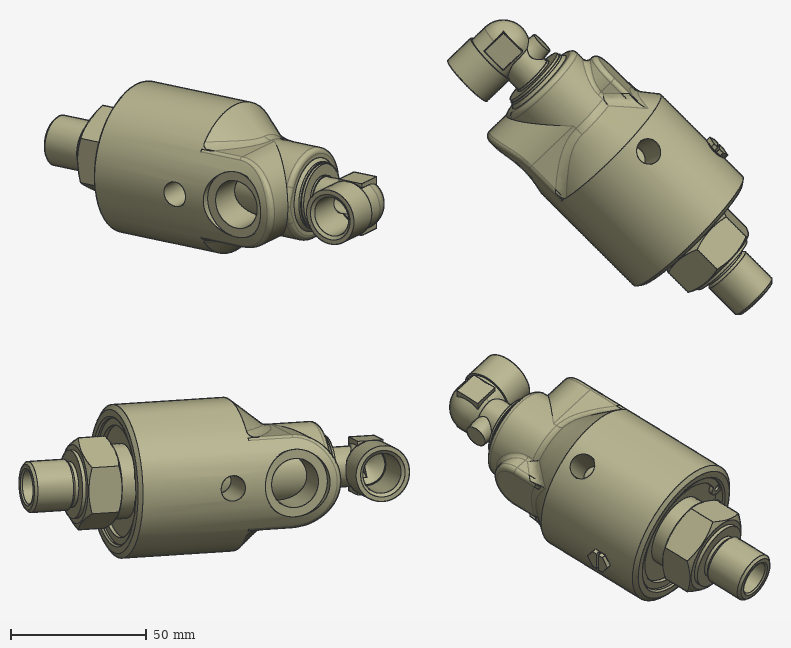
import cadquery as cq
import math


thread_dia = 19.0
thread_end = 16.0
neck_dia = 17.0
thread_chamfer = 1.0
washer_start = 17.4
washer_dia = 25.4
nut_start = 18.8
nut_end = 32.3
nut_flats = 30.0
nut_chamfer_dia = 29.2
nut_chamfer_length = 1.5
rotor_dia = 27.8
rotor_bore_dia = 12.7
rotor_bore_mouth_dia = 13.89
rotor_bore_depth = 40.0

body_start = 34.15
body_dia = 57.0
body_chamfer_length = 1.3
body_chamfer_height = 1.8
body_end = 78.9
cone_angle = 37.8
boss_dia = 35.0
boss_end = 114.1
boss_fillet = 2.0
cone_fillet = 5.0

recess_dia = 47.07
recess_mouth_dia = 48.4
recess_mouth_length = 0.7
recess_depth = 4.0
ring_thickness = 1.5
ring_setback = 1.5
ring_inner_dia = 41.8
ring_gap = 6.4
ear_radius = 2.9
ear_hole_dia = 2.36
ear_hole_y = -21.3
ear_hole_z = 6.1

port_x = 96.2
port_dia = 18.4
spotface_dia = 25.4
spotface_y = -25.5
pad_fillet = 2.0
stub_x = 97.1
stub_dia = 20.0
stub_y = 22.1
stub_edge_fillet = 2.0
stub_base_fillet = 2.0

vent_dia = 9.53
vent_x = 70.9
vent_count = 3
core_dia = 25.4

plug_x = 50.5
plug_corners = 9.5
plug_neck_dia = 7.0
plug_neck_embed = 1.0
plug_head_bottom = 28.7
plug_top = 30.45
plug_slot = 0.9

flange_root_dia = 27.8
flange_taper_end = 115.4
flange_dia = 25.4
flange_end = 116.2
lip_dia = 24.4
lip_end = 117.2
stem_collar_dia = 15.8
stem_collar_end = 118.0
stem_dia = 15.0
stem_bore_dia = 9.53
stem_bore_overrun = 0.6
cup_dia = 21.0
overall_length = 143.67
elbow_x = overall_length - cup_dia / 2
elbow_dia = 19.5
cup_top = -6.6
cup_bottom = -18.6
cup_bore_dia = 15.0
cup_mouth_dia = 17.48
cup_mouth_chamfer = 1.0
cup_bore_end = -1.0
drill_point_dia = 14.2
drill_point_height = 4.5
wrench_square = 10.0
wrench_height = 20.2
nipple_x = 124.1
nipple_dia = 8.6
nipple_top = 11.1
nipple_flare_radius = 16.0
nipple_flare_bottom = 4.0

tolerance = 0.1

body_radius = body_dia / 2
boss_radius = boss_dia / 2
stub_radius = stub_dia / 2
stub_root_y = math.sqrt(boss_radius**2 - stub_radius**2)
cone_end = body_end + (body_radius - boss_radius) / math.tan(math.radians(cone_angle))


def rod_x(dia, start, end):
    """Cylinder on the X axis."""
    return cq.Workplane("YZ").workplane(offset=start).circle(dia / 2).extrude(end - start)


def rod_y(dia, x, start, end):
    """Cylinder parallel to Y in the plane Z = 0."""
    return cq.Workplane("XZ", origin=(x, start, 0)).circle(dia / 2).extrude(start - end)


def cone_x(start_dia, end_dia, start, end):
    """Truncated cone on the X axis."""
    solid = cq.Solid.makeCone(
        start_dia / 2, end_dia / 2, end - start, cq.Vector(start, 0, 0), cq.Vector(1, 0, 0)
    )
    return cq.Workplane(solid)


def cone_y(start_dia, end_dia, x, start, end):
    """Truncated cone parallel to Y, in either direction."""
    direction = math.copysign(1, end - start)
    solid = cq.Solid.makeCone(
        start_dia / 2, end_dia / 2, abs(end - start), cq.Vector(x, start, 0), cq.Vector(0, direction, 0)
    )
    return cq.Workplane(solid)


def round_nosed_block(radius, nose_x, y_low, y_high):
    """Block along X whose +X end is rounded about a line parallel to Y."""
    block_length = nose_x - vent_x
    block = (
        cq.Workplane("XY")
        .box(block_length, y_high - y_low, 2 * radius, centered=(False, False, True))
        .translate((vent_x, y_low, 0))
    )
    return block.union(rod_y(2 * radius, nose_x, y_low, y_high))


def edges_where(part, test):
    """Select the edges of a part whose curve type and bounding box pass a test."""
    return part.newObject([e for e in part.edges().vals() if test(e.geomType(), e.BoundingBox())])


def is_cone_root(kind, box):
    """Edges where the cone of the housing meets the boss and both pads."""
    is_boss_circle = kind == "CIRCLE" and abs(box.xmin - cone_end) < tolerance and box.xlen < tolerance
    return kind == "HYPERBOLA" or is_boss_circle


def is_pad_rim(kind, box):
    """Edges between the outer cylinder and the sides of the port pad."""
    return box.ymax < -boss_radius and box.xlen > pad_fillet


def is_stub_root(kind, box):
    """Lines and curves where the side of the stub pad meets the boss."""
    on_boss = box.ymin > stub_root_y - tolerance and box.ymax < boss_radius + tolerance
    on_stub = box.xmax < stub_x + stub_radius + tolerance and box.zmax < stub_radius + tolerance
    return on_boss and on_stub and box.xlen > tolerance and box.zmin > -stub_radius - tolerance


def make_stub_on_boss(stub):
    """Boss and stub pad with the fillet between them; its start lies inside the body."""
    boss = rod_x(boss_dia, vent_x, boss_end).union(stub)
    return edges_where(boss, is_stub_root).fillet(stub_base_fillet)


def make_housing():
    """Turned body, cone and boss with the port pad, stub pad and recess."""
    profile = (
        cq.Workplane("XY")
        .moveTo(body_start, 0)
        .lineTo(body_start, body_radius - body_chamfer_height)
        .lineTo(body_start + body_chamfer_length, body_radius)
        .lineTo(body_end, body_radius)
        .lineTo(cone_end, boss_radius)
        .lineTo(boss_end, boss_radius)
        .lineTo(boss_end, 0)
        .close()
    )
    turned_body = profile.revolve(360, (0, 0, 0), (1, 0, 0))

    pad = round_nosed_block(boss_radius, port_x, -body_radius, 0)
    pad = pad.intersect(rod_x(body_dia, body_start, boss_end))
    stub = round_nosed_block(stub_radius, stub_x, 0, stub_y)
    housing = turned_body.union(pad).union(stub)
    housing = edges_where(housing, is_cone_root).fillet(cone_fillet)
    housing = housing.union(make_stub_on_boss(stub))

    rounded_pad = edges_where(pad, is_pad_rim).fillet(pad_fillet)
    rim_waste = pad.cut(rounded_pad).cut(rod_x(body_dia, body_start, body_end))
    housing = housing.cut(rim_waste)
    rounded_stub = stub.faces(">Y").edges("not(<X)").fillet(stub_edge_fillet)
    housing = housing.cut(stub.cut(rounded_stub).cut(turned_body))
    housing = housing.faces(">X").edges().fillet(boss_fillet)

    recess = rod_x(recess_dia, body_start, body_start + recess_depth)
    recess_mouth = cone_x(recess_mouth_dia, recess_dia, body_start, body_start + recess_mouth_length)
    return housing.cut(recess).cut(recess_mouth)


def cut_side_openings(housing):
    """Port with its spotface and vent holes, all ending on the core cylinder around the axis."""
    port = rod_y(port_dia, port_x, -body_radius, 0)
    spotface = rod_y(spotface_dia, port_x, -body_radius, spotface_y)
    openings = port.union(spotface)
    for index in range(vent_count):
        vent = rod_y(vent_dia, vent_x, -body_radius, 0)
        openings = openings.union(vent.rotate((0, 0, 0), (1, 0, 0), index * 360 / vent_count))
    core = rod_x(core_dia, body_start, boss_end)
    return housing.cut(openings.cut(core))


def make_snap_ring():
    """Open snap ring with two eyelets, its gap on the -Y side."""
    front = body_start + ring_setback
    back = front + ring_thickness
    ring = rod_x(recess_dia, front, back).cut(rod_x(ring_inner_dia, front, back))
    ear_centres = [(0, ear_hole_y, side * ear_hole_z) for side in (-1, 1)]
    for centre in ear_centres:
        ear = rod_x(2 * ear_radius, front, back).translate(centre)
        ring = ring.union(ear.intersect(rod_x(recess_dia, front, back)))
    gap = cq.Workplane("XY").box(ring_thickness, body_radius, ring_gap, centered=(False, False, True))
    ring = ring.cut(gap.translate((front, -body_radius, 0)))
    for centre in ear_centres:
        ring = ring.cut(rod_x(ear_hole_dia, front, back).translate(centre))
    return ring


def make_nut():
    """Hexagon nut with both ends chamfered, corners on the Z axis."""
    nut = (
        cq.Workplane("YZ")
        .polygon(6, nut_flats, circumscribed=True)
        .extrude(nut_end - nut_start)
        .translate((nut_start, 0, 0))
    )
    corner_dia = nut_flats / math.cos(math.pi / 6)
    front = nut_start + nut_chamfer_length
    back = nut_end - nut_chamfer_length
    envelope = (
        cone_x(nut_chamfer_dia, corner_dia, nut_start, front)
        .union(rod_x(corner_dia, front, back))
        .union(cone_x(corner_dia, nut_chamfer_dia, back, nut_end))
    )
    return nut.intersect(envelope)


def make_rotor():
    """Threaded stub, neck, washer, nut and collar with the blind axial bore."""
    stub = rod_x(thread_dia, 0, thread_end).edges().chamfer(thread_chamfer)
    neck = rod_x(neck_dia, thread_end - thread_chamfer, washer_start)
    washer = rod_x(washer_dia, washer_start, nut_start)
    collar = rod_x(rotor_dia, nut_end, body_start + recess_depth)
    rotor = stub.union(neck).union(washer).union(make_nut()).union(collar)
    mouth_depth = (rotor_bore_mouth_dia - rotor_bore_dia) / 2
    bore = rod_x(rotor_bore_dia, 0, rotor_bore_depth)
    return rotor, bore.union(cone_x(rotor_bore_mouth_dia, rotor_bore_dia, 0, mouth_depth))


def make_plug():
    """Slotted hexagon plug, corners along X."""
    neck = rod_y(plug_neck_dia, plug_x, body_radius - plug_neck_embed, plug_head_bottom)
    head = (
        cq.Workplane("XZ", origin=(plug_x, plug_top, 0))
        .polygon(6, plug_corners)
        .extrude(plug_top - plug_head_bottom)
    )
    slot_height = plug_top - plug_head_bottom
    slot = cq.Workplane("XY").box(plug_slot, slot_height, plug_corners, centered=(True, False, True))
    return neck.union(head.cut(slot.translate((plug_x, plug_head_bottom, 0))))


def make_nipple():
    """Round nipple along Y whose side flares out in an arc towards the stem."""
    drop = nipple_top - nipple_flare_bottom
    flare = nipple_flare_radius - math.sqrt(nipple_flare_radius**2 - drop**2)
    radius = nipple_dia / 2
    profile = (
        cq.Workplane("XY")
        .moveTo(0, nipple_flare_bottom)
        .lineTo(0, nipple_top)
        .lineTo(radius, nipple_top)
        .radiusArc((radius + flare, nipple_flare_bottom), -nipple_flare_radius)
        .close()
    )
    return profile.revolve(360, (0, 0, 0), (0, 1, 0)).translate((nipple_x, 0, 0))


def make_elbow():
    """End flange, stem, elbow with wrench flats, cup and nipple."""
    stem = rod_x(stem_dia, boss_end, elbow_x).union(make_nipple())
    flange = cone_x(flange_root_dia, flange_dia, boss_end, flange_taper_end)
    flange = flange.union(rod_x(flange_dia, flange_taper_end, flange_end))
    flange = flange.union(rod_x(lip_dia, flange_end, lip_end))
    flange = flange.union(rod_x(stem_collar_dia, lip_end, stem_collar_end))
    elbow = stem.union(flange)
    elbow = elbow.union(cq.Workplane("XY").sphere(elbow_dia / 2).translate((elbow_x, 0, 0)))
    elbow = elbow.union(rod_y(elbow_dia, elbow_x, cup_top, 0))
    elbow = elbow.union(rod_y(cup_dia, elbow_x, cup_bottom, cup_top))
    wrench_flats = cq.Workplane("XY").box(wrench_square, wrench_square, wrench_height)
    elbow = elbow.union(wrench_flats.translate((elbow_x, 0, 0)))

    cup_bore = rod_y(cup_bore_dia, elbow_x, cup_bottom, cup_bore_end)
    cup_mouth = cone_y(cup_mouth_dia, cup_bore_dia, elbow_x, cup_bottom, cup_bottom + cup_mouth_chamfer)
    drill_point = cone_y(drill_point_dia, 0, elbow_x, cup_bore_end, cup_bore_end + drill_point_height)
    stem_bore = rod_x(stem_bore_dia, boss_end, elbow_x + stem_bore_overrun)
    return elbow.cut(cup_bore).cut(cup_mouth).cut(drill_point).cut(stem_bore)


rotor, rotor_bore = make_rotor()
result = cut_side_openings(make_housing())
result = result.union(make_snap_ring()).union(rotor).cut(rotor_bore)
result = result.union(make_plug()).union(make_elbow())